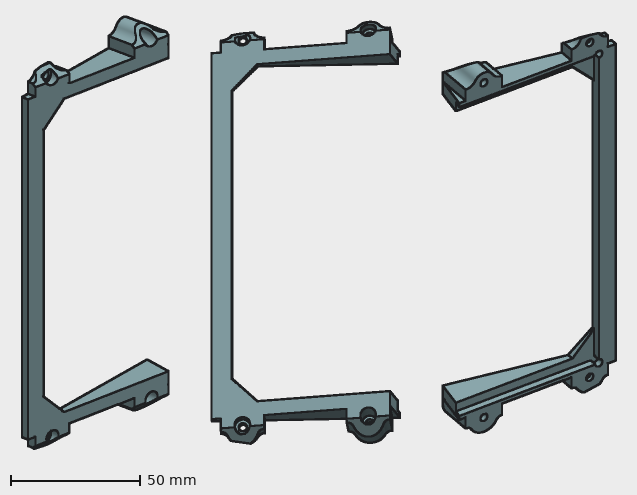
import cadquery as cq
import math

LENGTH_Y = 71.8
DEPTH_X = 16.4
NEAR_END_DEPTH = 3.0
FRAME_HALF_HEIGHT = 74.4
BAR_WIDTH = 8.0
LEG_HEIGHT = 5.9
GUSSET = 10.1

REBATE_DEPTH = 3.4
REBATE_HALF_HEIGHT = 72.5
RELIEF_DIAMETER = 3.2

PART_HALF_HEIGHT = 84.3
SHOULDER_Z = 79.5
BOSS_WIDTH = 17.0
BOSS_HALF_WIDTH = BOSS_WIDTH / 2
BOSS_ROOT_OVERLAP = 1.7
NEAR_BOSS = 12.1
REAR_BOSS = 61.5
UPPER_HOLE_Z = SHOULDER_Z
LOWER_HOLE_Z = -77.5
UPPER_BLEND_RADIUS = 5.0
LOWER_BLEND_RADIUS = 2.7
FLAT_TOP_Z = 83.1
FLAT_TOP_BLEND_RADIUS = 4.4
CHAMFER_START_Z = 78.4
CHAMFER_RUN_X = 6.4

HOLE_DIAMETER = 3.2
COUNTERBORE_DIAMETER = 6.0
NEAR_SEAT_DEPTH = 2.2
REAR_SEAT_DEPTH = 4.0

SLANT = math.atan2(DEPTH_X - NEAR_END_DEPTH, LENGTH_Y)
INNER_HALF_HEIGHT = FRAME_HALF_HEIGHT - LEG_HEIGHT
THROUGH = 3 * DEPTH_X
BEYOND_REAR = 2 * LENGTH_Y

FRONT = cq.Plane(
    origin=(-NEAR_END_DEPTH, 0, 0),
    xDir=(-math.sin(SLANT), math.cos(SLANT), 0),
    normal=(math.cos(SLANT), math.sin(SLANT), 0),
)


def wedge(half_height):
    """Plan outline of the part, with the near end square to the front face."""
    return (
        cq.Workplane("XY", origin=(0, 0, -half_height))
        .moveTo(-NEAR_END_DEPTH, 0)
        .lineTo(0, NEAR_END_DEPTH * math.tan(SLANT))
        .lineTo(0, LENGTH_Y)
        .lineTo(-DEPTH_X, LENGTH_Y)
        .close()
        .extrude(2 * half_height)
    )


def window():
    """Opening between the legs, with a 45 degree gusset left in each inner corner."""
    return (
        cq.Workplane(FRONT)
        .moveTo(BAR_WIDTH, GUSSET - INNER_HALF_HEIGHT)
        .lineTo(BAR_WIDTH + GUSSET, -INNER_HALF_HEIGHT)
        .lineTo(BEYOND_REAR, -INNER_HALF_HEIGHT)
        .lineTo(BEYOND_REAR, INNER_HALF_HEIGHT)
        .lineTo(BAR_WIDTH + GUSSET, INNER_HALF_HEIGHT)
        .lineTo(BAR_WIDTH, INNER_HALF_HEIGHT - GUSSET)
        .close()
        .extrude(THROUGH, both=True)
    )


def rebate():
    """Stepped seat along the inside of the frame and its corner reliefs."""
    corners = [(BAR_WIDTH, side * REBATE_HALF_HEIGHT) for side in (1, -1)]
    seat = (
        cq.Workplane(FRONT)
        .moveTo(BAR_WIDTH, -REBATE_HALF_HEIGHT)
        .lineTo(BEYOND_REAR, -REBATE_HALF_HEIGHT)
        .lineTo(BEYOND_REAR, REBATE_HALF_HEIGHT)
        .lineTo(BAR_WIDTH, REBATE_HALF_HEIGHT)
        .close()
        .extrude(REBATE_DEPTH)
    )
    reliefs = cq.Workplane(FRONT).pushPoints(corners).circle(RELIEF_DIAMETER / 2).extrude(REBATE_DEPTH)
    return seat.union(reliefs)


def boss_start(center, side):
    """Boss outline from its root up to the shoulder corner on its near side."""
    root = side * (FRAME_HALF_HEIGHT - BOSS_ROOT_OVERLAP)
    return (
        cq.Workplane(FRONT)
        .moveTo(center + BOSS_HALF_WIDTH, root)
        .lineTo(center - BOSS_HALF_WIDTH, root)
        .lineTo(center - BOSS_HALF_WIDTH, side * SHOULDER_Z)
    )


def round_boss(center, side, hole_z, blend):
    """Boss with a crown concentric with its hole, blended into the shoulders."""
    crown_base = abs(hole_z)
    crown = PART_HALF_HEIGHT - crown_base
    blend_z = SHOULDER_Z + blend
    blend_x = math.sqrt((crown + blend) ** 2 - (blend_z - crown_base) ** 2)
    tangent_x = blend_x * crown / (crown + blend)
    tangent_z = crown_base + (blend_z - crown_base) * crown / (crown + blend)
    return (
        boss_start(center, side)
        .lineTo(center - blend_x, side * SHOULDER_Z)
        .radiusArc((center - tangent_x, side * tangent_z), side * -blend)
        .threePointArc((center, side * PART_HALF_HEIGHT), (center + tangent_x, side * tangent_z))
        .radiusArc((center + blend_x, side * SHOULDER_Z), side * -blend)
        .lineTo(center + BOSS_HALF_WIDTH, side * SHOULDER_Z)
        .close()
        .extrude(THROUGH)
    )


def flat_boss(center, side):
    """Boss with a flat top between two concave flanks."""
    blend = FLAT_TOP_BLEND_RADIUS
    rise = SHOULDER_Z + blend - FLAT_TOP_Z
    top_half_width = BOSS_HALF_WIDTH - math.sqrt(blend**2 - rise**2)
    return (
        boss_start(center, side)
        .radiusArc((center - top_half_width, side * FLAT_TOP_Z), side * -blend)
        .lineTo(center + top_half_width, side * FLAT_TOP_Z)
        .radiusArc((center + BOSS_HALF_WIDTH, side * SHOULDER_Z), side * -blend)
        .close()
        .extrude(THROUGH)
    )


def boss_envelope():
    """Wedge as tall as the part, chamfered along both back edges."""
    chamfered = (
        cq.Workplane("XZ")
        .moveTo(-THROUGH, -PART_HALF_HEIGHT)
        .lineTo(-CHAMFER_RUN_X, -PART_HALF_HEIGHT)
        .lineTo(0, -CHAMFER_START_Z)
        .lineTo(0, CHAMFER_START_Z)
        .lineTo(-CHAMFER_RUN_X, PART_HALF_HEIGHT)
        .lineTo(-THROUGH, PART_HALF_HEIGHT)
        .close()
        .extrude(-BEYOND_REAR)
    )
    return wedge(PART_HALF_HEIGHT).intersect(chamfered)


def screw_hole(center, hole_z, seat_depth):
    """Hole square to the front face; the counterbore runs from its seat out through the back."""
    hole = cq.Workplane(FRONT).center(center, hole_z).circle(HOLE_DIAMETER / 2).extrude(THROUGH)
    counterbore = (
        cq.Workplane(FRONT)
        .workplane(offset=seat_depth)
        .center(center, hole_z)
        .circle(COUNTERBORE_DIAMETER / 2)
        .extrude(THROUGH)
    )
    return hole.union(counterbore)


frame = wedge(FRAME_HALF_HEIGHT).cut(window()).cut(rebate())

bosses = (
    flat_boss(NEAR_BOSS, 1)
    .union(round_boss(REAR_BOSS, 1, UPPER_HOLE_Z, UPPER_BLEND_RADIUS))
    .union(round_boss(NEAR_BOSS, -1, LOWER_HOLE_Z, LOWER_BLEND_RADIUS))
    .union(round_boss(REAR_BOSS, -1, LOWER_HOLE_Z, LOWER_BLEND_RADIUS))
    .intersect(boss_envelope())
    .cut(rebate())
)

result = frame.union(bosses)
for boss, seat in ((NEAR_BOSS, NEAR_SEAT_DEPTH), (REAR_BOSS, REAR_SEAT_DEPTH)):
    for z in (UPPER_HOLE_Z, LOWER_HOLE_Z):
        result = result.cut(screw_hole(boss, z, seat))